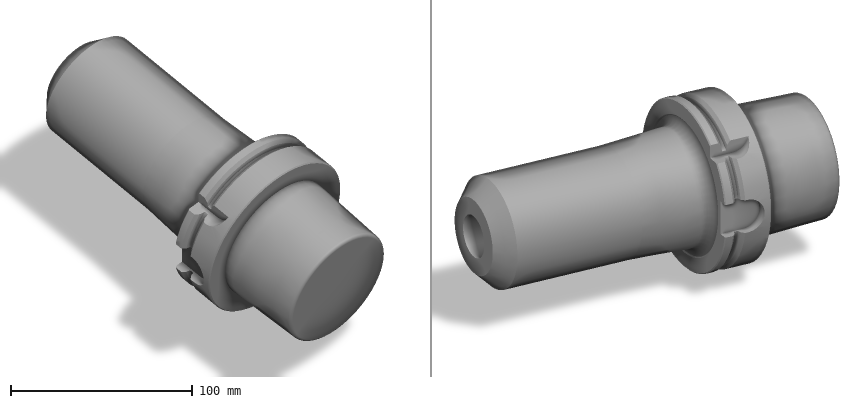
import cadquery as cq
import math

total_length = 210.0
nose_chamfer_end = 10.0
flare_start = 87.8
flare_end = 124.7
neck_end = 126.2
flange_start = 131.0
flange_end = 159.5

bore_radius = 25.0 / 2
nose_radius = 22.5
body_radius = 65.0 / 2
neck_radius = 69.0 / 2
flange_radius = 100.0 / 2
taper_large_radius = 37.8
taper_small_radius = 36.0

bore_depth = 52.5
neck_fillet = 5.5
undercut_outer_radius = 40.7
flange_chamfer = 0.6
taper_end_round = 1.9

groove_center = 139.9
groove_mouth_width = 7.5
groove_throat_width = 3.8
groove_floor_width = 2.5
groove_throat_radius = 48.0
groove_floor_radius = 45.8

slot_tip = 155.2
slot_floor = 43.7
front_slot_width = 20.2
rear_slot_width = 22.3
rear_slot_corner = 10.5
notch_wall = 31.0
notch_floor = 31.3


def make_body():
    """Revolve the outer profile, including the filleted neck and rear taper."""
    arc_shift = neck_fillet * math.sin(math.radians(45))
    fillet_center_radius = neck_radius + neck_fillet
    profile = (
        cq.Workplane("XY")
        .lineTo(0, nose_radius)
        .lineTo(nose_chamfer_end, body_radius)
        .lineTo(flare_start, body_radius)
        .lineTo(flare_end, neck_radius)
        .lineTo(neck_end, neck_radius)
        .threePointArc(
            (neck_end + arc_shift, fillet_center_radius - arc_shift),
            (neck_end + neck_fillet, fillet_center_radius),
        )
        .lineTo(flange_start, undercut_outer_radius)
        .lineTo(flange_start, flange_radius - flange_chamfer)
        .lineTo(flange_start + flange_chamfer, flange_radius)
        .lineTo(flange_end - flange_chamfer, flange_radius)
        .lineTo(flange_end, flange_radius - flange_chamfer)
        .lineTo(flange_end, taper_large_radius)
        .lineTo(total_length, taper_small_radius)
        .lineTo(total_length, 0)
        .close()
    )
    body = profile.revolve(360, (0, 0, 0), (1, 0, 0))
    return body.faces(">X").edges().fillet(taper_end_round)


def make_groove():
    """Ring with a V-shaped mouth and a narrow, nearly straight floor."""
    levels = [
        (groove_floor_width, groove_floor_radius),
        (groove_throat_width, groove_throat_radius),
        (groove_mouth_width, flange_radius),
    ]
    left_side = [(groove_center - width / 2, radius) for width, radius in levels]
    right_side = [(groove_center + width / 2, radius) for width, radius in reversed(levels)]
    profile = cq.Workplane("XY").polyline(left_side + right_side).close()
    return profile.revolve(360, (0, 0, 0), (1, 0, 0))


def make_front_slot():
    """Cutter for the -Y slot, whose closed end is a full half round."""
    half_width = front_slot_width / 2
    arc_start = slot_tip - half_width
    outline = (
        cq.Workplane("XZ", origin=(0, -slot_floor, 0))
        .moveTo(flange_start, -half_width)
        .lineTo(arc_start, -half_width)
        .threePointArc((slot_tip, 0), (arc_start, half_width))
        .lineTo(flange_start, half_width)
        .close()
    )
    return outline.extrude(flange_radius - slot_floor)


def make_rear_slot():
    """Cutter for the wider +Y slot, whose closed end has two round corners and a short flat."""
    length = slot_tip - flange_start
    depth = flange_radius - slot_floor
    block = cq.Workplane("XY").box(length, depth, rear_slot_width, centered=False)
    block = block.translate((flange_start, slot_floor, -rear_slot_width / 2))
    return block.edges("|Y and >X").fillet(rear_slot_corner)


def make_notch():
    """Corner notch with a flat floor that runs out in a cutter-radius arc."""
    cutter_radius = front_slot_width / 2
    arc_start = slot_tip - cutter_radius
    arc_shift = cutter_radius * math.sin(math.radians(45))
    arc_center_z = notch_floor + cutter_radius
    outline = (
        cq.Workplane("XZ", origin=(0, -notch_wall, 0))
        .moveTo(flange_start, notch_floor)
        .lineTo(arc_start, notch_floor)
        .threePointArc(
            (arc_start + arc_shift, arc_center_z - arc_shift),
            (slot_tip, arc_center_z),
        )
        .lineTo(flange_start, arc_center_z)
        .close()
    )
    return outline.extrude(flange_radius - notch_wall)


bore = cq.Workplane("YZ").circle(bore_radius).extrude(bore_depth)

result = make_body().cut(bore).cut(make_groove())
result = result.cut(make_front_slot()).cut(make_rear_slot()).cut(make_notch())